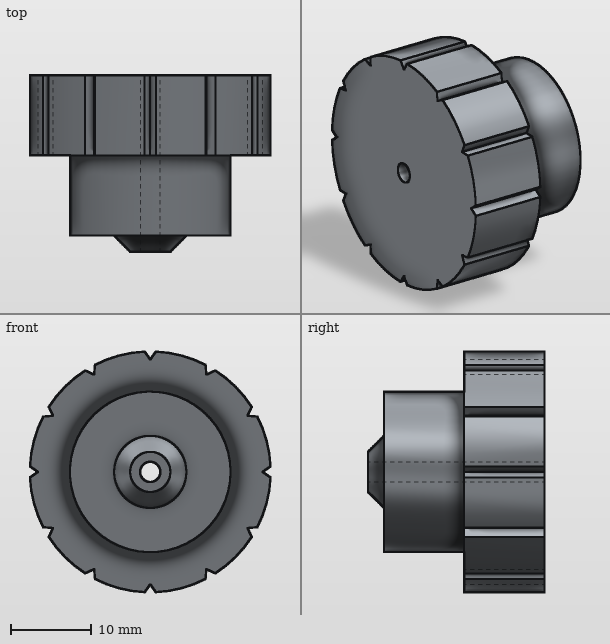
import cadquery as cq
import math

overall_size = 29.97
wheel_width = 10.0
hub_diameter = 20.0
hub_length = 9.98
nose_base_diameter = 9.0
nose_tip_diameter = 5.0
nose_length = 2.0
bore_diameter = 2.5
notch_count = 12
notch_half_width = 0.7
notch_depth = 1.0

notch_edge_radius = overall_size / 2
rim_radius = math.hypot(notch_edge_radius, notch_half_width)
hub_front = -hub_length
nose_front = hub_front - nose_length


def make_body():
    """Revolve the stepped wheel, hub and conical nose around the bore."""
    bore_radius = bore_diameter / 2
    hub_radius = hub_diameter / 2
    half_profile = [
        (bore_radius, wheel_width),
        (rim_radius, wheel_width),
        (rim_radius, 0),
        (hub_radius, 0),
        (hub_radius, hub_front),
        (nose_base_diameter / 2, hub_front),
        (nose_tip_diameter / 2, nose_front),
        (bore_radius, nose_front),
    ]
    return cq.Workplane("XY").polyline(half_profile).close().revolve(360, (0, 0), (0, 1))


def make_notch(angle):
    """V-shaped cutter across the wheel rim, turned about the Y axis."""
    apex_radius = notch_edge_radius - notch_depth
    cutter_depth = 2 * notch_depth
    cutter_half_width = 2 * notch_half_width
    cutter = (
        cq.Workplane("XZ")
        .moveTo(apex_radius, 0)
        .lineTo(apex_radius + cutter_depth, cutter_half_width)
        .lineTo(apex_radius + cutter_depth, -cutter_half_width)
        .close()
        .extrude(-wheel_width)
    )
    return cutter.rotate((0, 0, 0), (0, 1, 0), angle)


result = make_body()
for index in range(notch_count):
    result = result.cut(make_notch(index * 360 / notch_count))